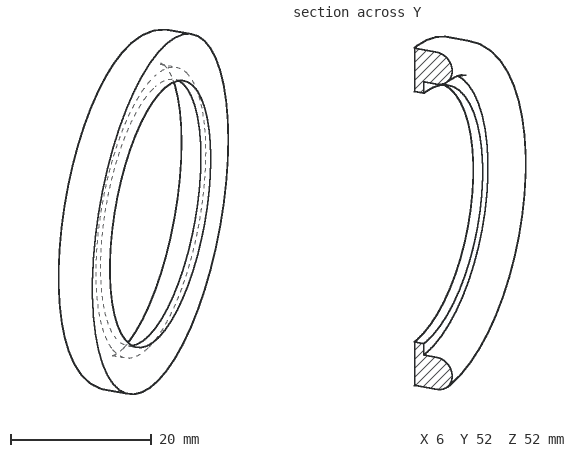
import cadquery as cq

outer_diameter = 52.0
bore_diameter = 42.0
lip_diameter = 38.5
ring_width = 6.0
lip_thickness = 1.5

outer_radius = outer_diameter / 2
bore_radius = bore_diameter / 2
lip_radius = lip_diameter / 2
rim_radius = (outer_radius - bore_radius) / 2
rim_center_radius = bore_radius + rim_radius
lip_face_x = ring_width - lip_thickness


def ring_section():
    """Half section in the XY plane: half-round rim, straight wall and inner lip."""
    return (
        cq.Workplane("XY")
        .moveTo(rim_radius, bore_radius)
        .threePointArc((0, rim_center_radius), (rim_radius, outer_radius))
        .lineTo(ring_width, outer_radius)
        .lineTo(ring_width, lip_radius)
        .lineTo(lip_face_x, lip_radius)
        .lineTo(lip_face_x, bore_radius)
        .close()
    )


result = ring_section().revolve(360, (0, 0, 0), (1, 0, 0))